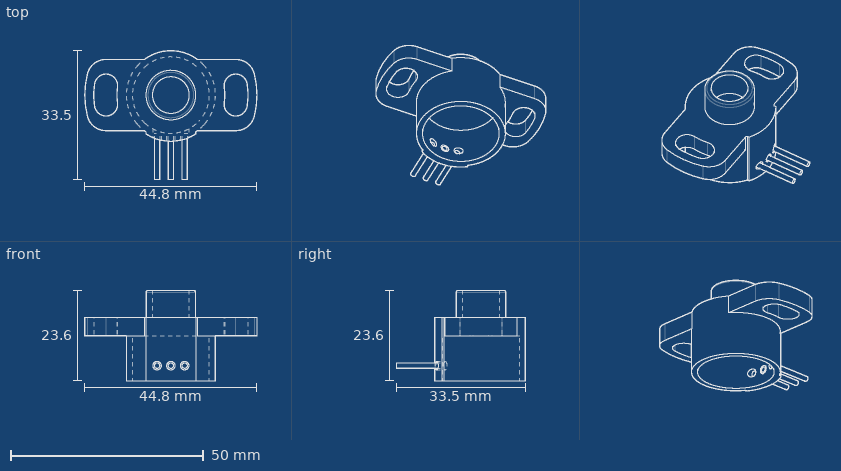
import cadquery as cq
import math

flange_bottom = 11.73
flange_top = 16.5
overall_height = 23.55

case_diameter = 23.1
cavity_diameter = 19.9
boss_diameter = 24.05
boss_width = 13.0

flange_length = 44.75
flange_width = 18.58
flange_corner_radius = 5.0
slot_path_radius = 17.0
slot_width = 5.95
slot_half_height = 5.4

bushing_diameter = 12.9
bushing_bore = 9.55
bushing_edge_radius = 0.55

wire_diameter = 1.4
wire_hole_diameter = 2.2
wire_spacing = 3.6
wire_height = 4.0
wire_end_y = -21.98
wire_inner_y = -cavity_diameter / 2
wire_positions = [-wire_spacing, 0, wire_spacing]


def make_case():
    return cq.Workplane("XY").circle(case_diameter / 2).extrude(flange_top)


def make_wire_boss():
    """Slice of a wider cylinder, kept only on the -Y side."""
    boss_radius = boss_diameter / 2
    slice_box = cq.Workplane("XY").center(0, -boss_radius / 2).rect(boss_width, boss_radius).extrude(flange_top)
    return cq.Workplane("XY").circle(boss_radius).extrude(flange_top).intersect(slice_box)


def make_flange():
    thickness = flange_top - flange_bottom
    flange = cq.Workplane("XY").circle(flange_length / 2).extrude(thickness)
    sides = cq.Workplane("XY").rect(flange_length, flange_width).extrude(thickness)
    flange = flange.intersect(sides).edges("|Z").fillet(flange_corner_radius)
    return flange.translate((0, 0, flange_bottom))


def make_slot_cutter(side):
    """Slot bent around the Z axis, on the +X side (side = 1) or the -X side (side = -1)."""
    end_radius = slot_width / 2
    inner_radius = slot_path_radius - end_radius
    outer_radius = slot_path_radius + end_radius
    end_angle = math.asin((slot_half_height - end_radius) / slot_path_radius)

    def at(radius, angle):
        return (side * radius * math.cos(angle), radius * math.sin(angle))

    def end_tip(end):
        """Middle of the round end on the +Y side (end = 1) or the -Y side (end = -1)."""
        x, y = at(slot_path_radius, end * end_angle)
        return (x - side * end_radius * math.sin(end_angle), y + end * end_radius * math.cos(end_angle))

    return (
        cq.Workplane("XY", origin=(0, 0, flange_bottom))
        .moveTo(*at(outer_radius, -end_angle))
        .threePointArc(at(outer_radius, 0), at(outer_radius, end_angle))
        .threePointArc(end_tip(1), at(inner_radius, end_angle))
        .threePointArc(at(inner_radius, 0), at(inner_radius, -end_angle))
        .threePointArc(end_tip(-1), at(outer_radius, -end_angle))
        .close()
        .extrude(flange_top - flange_bottom)
    )


def make_rod(diameter, x, start_y, end_y):
    """Cylinder along -Y at the height of the wires."""
    return (
        cq.Workplane("XZ", origin=(x, start_y, wire_height))
        .circle(diameter / 2)
        .extrude(start_y - end_y)
    )


def make_cavity_cutter():
    """Round space inside the case, from the base up to the underside of the flange."""
    return cq.Workplane("XY").circle(cavity_diameter / 2).extrude(flange_bottom)


def make_housing():
    housing = make_case().union(make_wire_boss()).union(make_flange())
    housing = housing.cut(make_cavity_cutter())
    for side in (1, -1):
        housing = housing.cut(make_slot_cutter(side))
    for x in wire_positions:
        housing = housing.cut(make_rod(wire_hole_diameter, x, 0, -boss_diameter / 2))
    return housing


def make_bushing():
    return (
        cq.Workplane("XY", origin=(0, 0, flange_top))
        .circle(bushing_diameter / 2)
        .extrude(overall_height - flange_top)
        .faces(">Z").edges().fillet(bushing_edge_radius)
        .faces(">Z").workplane()
        .hole(bushing_bore)
    )


def make_wire(x):
    return make_rod(wire_diameter, x, wire_inner_y, wire_end_y)


housing = make_housing()
bushing = make_bushing()
wires = [make_wire(x) for x in wire_positions]

result = cq.Compound.makeCompound([housing.val(), bushing.val(), *[wire.val() for wire in wires]])